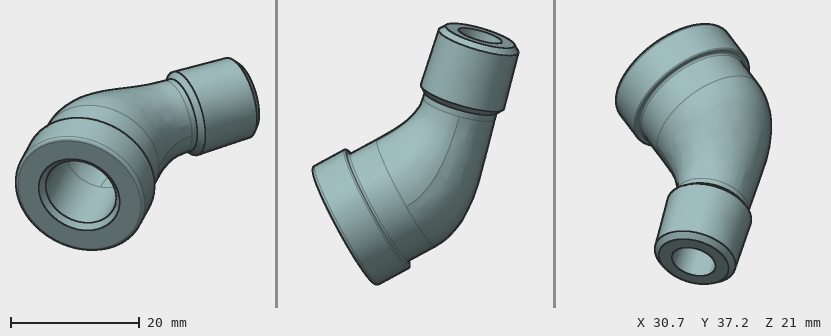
import cadquery as cq
import math

bend_angle = math.radians(45)
bend_corner_y = 17.0
bend_start_y = 11.0
bend_end_distance = 11.0
bend_sections = 13

collar_radius = 10.5
collar_length = 6.0
collar_front_fillet = 0.52
collar_back_fillet = 0.25
body_radius = 9.5
body_root_fillet = 0.35
inlet_bore_radius = 5.75
inlet_mouth_radius = 6.6

neck_radius = 5.85
neck_end_distance = 12.0
outlet_end_distance = 23.0
outlet_chamfer = 0.9
outlet_tip_radius = 6.48
taper_slope = 1 / 32
shoulder_slope_length = 0.93
outlet_bore_radius = 3.5

inlet_direction = cq.Vector(0, 1, 0)
inlet_side = cq.Vector(1, 0, 0)
outlet_direction = cq.Vector(math.sin(bend_angle), math.cos(bend_angle), 0)
outlet_side = cq.Vector(outlet_direction.y, -outlet_direction.x, 0)
corner = cq.Vector(0, bend_corner_y, 0)
bend_start = inlet_direction * bend_start_y
bend_end = corner + outlet_direction * bend_end_distance
inlet_plane = cq.Plane(origin=(0, 0, 0), xDir=inlet_side.toTuple(), normal=(0, 0, 1))
outlet_plane = cq.Plane(origin=corner.toTuple(), xDir=outlet_side.toTuple(), normal=(0, 0, 1))


def revolved(profile):
    """Turn a closed profile once around its own plane's y axis."""
    return profile.revolve(360, (0, 0, 0), (0, 1, 0))


def turned(plane, points):
    """Turn a straight-sided outline of (radius, distance) points."""
    return revolved(cq.Workplane(plane).polyline(points).close())


def hermite(t, start, end, start_tangent, end_tangent):
    """Point on the cubic that leaves start and reaches end with the given tangents."""
    return (
        start * (2 * t**3 - 3 * t**2 + 1)
        + start_tangent * (t**3 - 2 * t**2 + t)
        + end * (3 * t**2 - 2 * t**3)
        + end_tangent * (t**3 - t**2)
    )


def bend_edge(t, start_radius, end_radius, side):
    """Point on the inside (side = 1) or outside (side = -1) edge of the bend."""
    start = bend_start + inlet_side * (side * start_radius)
    end = bend_end + outlet_side * (side * end_radius)
    chord = (end - start).Length
    return hermite(t, start, end, inlet_direction * chord, outlet_direction * chord)


def bend(start_radius, end_radius):
    """Loft elliptical sections between two circles, tangent to both straight ends."""
    sections = []
    for index in range(bend_sections):
        t = index / (bend_sections - 1)
        inside = bend_edge(t, start_radius, end_radius, 1)
        outside = bend_edge(t, start_radius, end_radius, -1)
        across = inside - outside
        height_radius = hermite(t, start_radius, end_radius, 0, 0)
        normal = cq.Vector(0, 0, 1).cross(across)
        plane = cq.Plane(((inside + outside) * 0.5).toTuple(), across.toTuple(), normal.toTuple())
        sections.append(cq.Workplane(plane).ellipse(across.Length / 2, height_radius).wire().val())
    return cq.Workplane(cq.Solid.makeLoft(sections))


def inlet_outside():
    """Revolve the filleted collar and the straight body behind it."""
    front_edge_radius = collar_radius - collar_front_fillet
    back_edge_radius = collar_radius - collar_back_fillet
    profile = (
        cq.Workplane(inlet_plane)
        .lineTo(front_edge_radius, 0)
        .tangentArcPoint((collar_radius, collar_front_fillet), relative=False)
        .lineTo(collar_radius, collar_length - collar_back_fillet)
        .tangentArcPoint((back_edge_radius, collar_length), relative=False)
        .lineTo(body_radius + body_root_fillet, collar_length)
        .tangentArcPoint((body_radius, collar_length + body_root_fillet), relative=False)
        .lineTo(body_radius, bend_start_y)
        .lineTo(0, bend_start_y)
        .close()
    )
    return revolved(profile)


def outlet_outside():
    """Neck, sloped shoulder, slightly conical spigot and chamfered tip."""
    tip_distance = outlet_end_distance - outlet_chamfer
    shoulder_distance = neck_end_distance + shoulder_slope_length
    shoulder_radius = outlet_tip_radius + (tip_distance - shoulder_distance) * taper_slope
    return turned(outlet_plane, [
        (0, bend_end_distance),
        (neck_radius, bend_end_distance),
        (neck_radius, neck_end_distance),
        (shoulder_radius, shoulder_distance),
        (outlet_tip_radius, tip_distance),
        (outlet_tip_radius - outlet_chamfer, outlet_end_distance),
        (0, outlet_end_distance),
    ])


def inlet_bore():
    """Straight bore with a 45 degree countersunk mouth."""
    mouth_depth = inlet_mouth_radius - inlet_bore_radius
    return turned(inlet_plane, [
        (0, 0),
        (inlet_mouth_radius, 0),
        (inlet_bore_radius, mouth_depth),
        (inlet_bore_radius, bend_start_y),
        (0, bend_start_y),
    ])


def outlet_bore():
    """Narrower straight bore running out through the spigot."""
    return turned(outlet_plane, [
        (0, bend_end_distance),
        (outlet_bore_radius, bend_end_distance),
        (outlet_bore_radius, outlet_end_distance),
        (0, outlet_end_distance),
    ])


outside = inlet_outside().union(bend(body_radius, neck_radius)).union(outlet_outside())
passage = inlet_bore().union(bend(inlet_bore_radius, outlet_bore_radius)).union(outlet_bore())
result = outside.cut(passage)